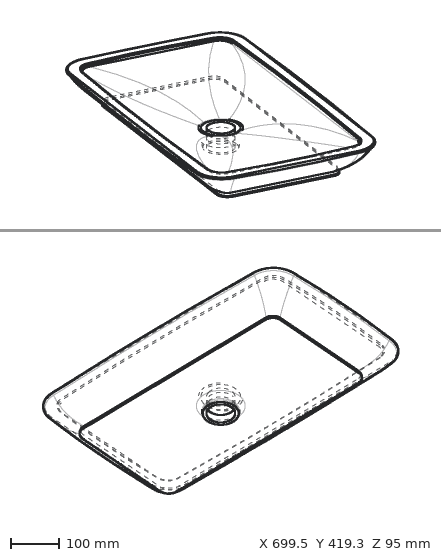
import cadquery as cq
import math

TOTAL_HEIGHT = 95.0
BEVEL_BOTTOM_Z = -2.8
LIP_BOTTOM_Z = -7.0
NECK_Z = -66.5
FOOT_EDGE_Z = -72.0
FOOT_BOTTOM_Z = -75.0
SPIGOT_BOTTOM_Z = -TOTAL_HEIGHT

OUTER_LENGTH = 699.45
OUTER_WIDTH = 419.32
SIDE_BOW = 5.0
RIM_CORNER_RADIUS = 61.0
CORNER_X = OUTER_LENGTH / 2 - SIDE_BOW - RIM_CORNER_RADIUS
CORNER_Y = OUTER_WIDTH / 2 - SIDE_BOW - RIM_CORNER_RADIUS
FLAT_CORNER_RADIUS = 58.0
LIP_UNDERCUT = 4.0

NECK_HALF_LENGTH = 277.5
NECK_CORNER_RADIUS = 20.0
WALL_TOP_ANGLE = math.radians(36)
WALL_SECTIONS = 6

FOOT_FLARE = 3.0
SPIGOT_RADIUS = 38.3
SPIGOT_FLARE_RADIUS = 12.0
SPIGOT_CHAMFER_HEIGHT = 4.0
SPIGOT_CHAMFER_WIDTH = 1.2

OPENING_CORNER_RADIUS = 32.5
STEP_CORNER_RADIUS = 31.0
STEP_Z = -3.3
LEDGE_CORNER_RADIUS = 28.0
LEDGE_Z = -6.0
UPPER_FLOOR_HALF_LENGTH = 232.0
UPPER_FLOOR_HALF_WIDTH = 145.0
UPPER_FLOOR_CORNER = 53.0
UPPER_FLOOR_Z = -13.0
LOWER_FLOOR_HALF_LENGTH = 140.0
LOWER_FLOOR_HALF_WIDTH = 98.0
LOWER_FLOOR_CORNER = 51.0
LOWER_FLOOR_Z = -27.5

DRAIN_Z = -51.5
DRAIN_RADIUS = 46.0
SEAT_RADIUS = 41.0
THROAT_RADIUS = 29.5
THROAT_Z = DRAIN_Z - (SEAT_RADIUS - THROAT_RADIUS)
DRAIN_CORNER_START = math.radians(23.5)
DRAIN_CORNER_END = math.radians(49)

STRAIGHT_TOLERANCE = 1e-6

STOPPER_EDGE_Z = DRAIN_Z
STOPPER_DOME = 4.0
STOPPER_BOTTOM_Z = FOOT_BOTTOM_Z


def closed_outline(z, side_start, corner_middle, corner_end, side_middle_x, end_middle_y):
    """Closed wire at height z, mirrored about X and Y from the points of one quarter.

    side_start and corner_end are the ends of the corner arc; the sides between the
    corners are arcs through (side_middle_x, 0) and (0, end_middle_y), or straight lines.
    """

    def point(xy, sx, sy):
        return cq.Vector(sx * xy[0], sy * xy[1], z)

    def side(start, middle, end):
        if (middle - (start + end) * 0.5).Length < STRAIGHT_TOLERANCE:
            return cq.Edge.makeLine(start, end)
        return cq.Edge.makeThreePointArc(start, middle, end)

    def corner(sx, sy, first, last):
        return cq.Edge.makeThreePointArc(
            point(first, sx, sy), point(corner_middle, sx, sy), point(last, sx, sy)
        )

    a, b = side_start, corner_end
    right = cq.Vector(side_middle_x, 0, z)
    left = cq.Vector(-side_middle_x, 0, z)
    back = cq.Vector(0, end_middle_y, z)
    front = cq.Vector(0, -end_middle_y, z)
    edges = [
        side(point(a, 1, -1), right, point(a, 1, 1)),
        corner(1, 1, a, b),
        side(point(b, 1, 1), back, point(b, -1, 1)),
        corner(-1, 1, b, a),
        side(point(a, -1, 1), left, point(a, -1, -1)),
        corner(-1, -1, a, b),
        side(point(b, -1, -1), front, point(b, 1, -1)),
        corner(1, -1, b, a),
    ]
    return cq.Wire.assembleEdges(edges)


def rounded_rectangle(z, corner_x, corner_y, radius, bow=0.0):
    """Rectangle with corner arcs centred at (corner_x, corner_y) and sides bowed outward."""
    diagonal = radius * math.sqrt(0.5)
    return closed_outline(
        z,
        side_start=(corner_x + radius, corner_y),
        corner_middle=(corner_x + diagonal, corner_y + diagonal),
        corner_end=(corner_x, corner_y + radius),
        side_middle_x=corner_x + radius + bow,
        end_middle_y=corner_y + radius + bow,
    )


def drain_circle():
    """Circle of the drain edge, split where the corners of the basin floor run into it."""

    def on_circle(angle):
        return (DRAIN_RADIUS * math.cos(angle), DRAIN_RADIUS * math.sin(angle))

    return closed_outline(
        DRAIN_Z,
        side_start=on_circle(DRAIN_CORNER_START),
        corner_middle=on_circle((DRAIN_CORNER_START + DRAIN_CORNER_END) / 2),
        corner_end=on_circle(DRAIN_CORNER_END),
        side_middle_x=DRAIN_RADIUS,
        end_middle_y=DRAIN_RADIUS,
    )


def loft(wires, ruled=True):
    return cq.Workplane(obj=cq.Solid.makeLoft(wires, ruled))


def wall_outlines():
    """Outlines of the outer wall from the lip down to the neck, following the section arc."""
    top_half_length = OUTER_LENGTH / 2 - LIP_UNDERCUT
    top_half_width = OUTER_WIDTH / 2 - LIP_UNDERCUT
    drop = LIP_BOTTOM_Z - NECK_Z
    inset = top_half_length - NECK_HALF_LENGTH
    half_turn = math.atan2(inset, drop) - WALL_TOP_ANGLE
    arc_radius = math.hypot(inset, drop) / (2 * math.sin(half_turn))
    wires = []
    for i in range(WALL_SECTIONS):
        share = i / (WALL_SECTIONS - 1)
        angle = WALL_TOP_ANGLE + 2 * half_turn * share
        z = LIP_BOTTOM_Z - arc_radius * (math.sin(angle) - math.sin(WALL_TOP_ANGLE))
        step_in = arc_radius * (math.cos(WALL_TOP_ANGLE) - math.cos(angle))
        depth_share = (LIP_BOTTOM_Z - z) / drop
        bow = SIDE_BOW * (1 - depth_share)
        top_radius = RIM_CORNER_RADIUS - LIP_UNDERCUT
        radius = top_radius + (NECK_CORNER_RADIUS - top_radius) * depth_share
        corner_x = top_half_length - step_in - bow - radius
        corner_y = top_half_width - step_in - bow - radius
        wires.append(rounded_rectangle(z, corner_x, corner_y, radius, bow))
    return wires


def make_shell():
    """Solid outer form of the basin: rim, wall and foot ring."""
    rim_flat = rounded_rectangle(0, CORNER_X, CORNER_Y, FLAT_CORNER_RADIUS)
    rim_edge = rounded_rectangle(BEVEL_BOTTOM_Z, CORNER_X, CORNER_Y, RIM_CORNER_RADIUS, SIDE_BOW)
    wall = wall_outlines()
    neck_corner_x = NECK_HALF_LENGTH - NECK_CORNER_RADIUS
    neck_corner_y = neck_corner_x - (OUTER_LENGTH - OUTER_WIDTH) / 2
    foot_radius = NECK_CORNER_RADIUS + FOOT_FLARE
    foot_edge = rounded_rectangle(FOOT_EDGE_Z, neck_corner_x, neck_corner_y, foot_radius)
    foot_bottom = rounded_rectangle(FOOT_BOTTOM_Z, neck_corner_x, neck_corner_y, foot_radius)
    bevel = loft([rim_flat, rim_edge])
    lip = loft([rim_edge, wall[0]])
    foot_flare = loft([wall[-1], foot_edge])
    foot = loft([foot_edge, foot_bottom])
    return loft(wall, ruled=False).union(lip).union(bevel).union(foot_flare).union(foot)


def make_spigot():
    """Outlet below the foot, flaring with a hollow curve into the underside."""
    flare_top = SPIGOT_RADIUS + SPIGOT_FLARE_RADIUS
    flare_mid = SPIGOT_FLARE_RADIUS * (1 - math.sqrt(0.5))
    return (
        cq.Workplane("XZ")
        .moveTo(0, DRAIN_Z)
        .lineTo(flare_top, DRAIN_Z)
        .lineTo(flare_top, FOOT_BOTTOM_Z)
        .threePointArc(
            (SPIGOT_RADIUS + flare_mid, FOOT_BOTTOM_Z - flare_mid),
            (SPIGOT_RADIUS, FOOT_BOTTOM_Z - SPIGOT_FLARE_RADIUS),
        )
        .lineTo(SPIGOT_RADIUS, SPIGOT_BOTTOM_Z + SPIGOT_CHAMFER_HEIGHT)
        .lineTo(SPIGOT_RADIUS - SPIGOT_CHAMFER_WIDTH, SPIGOT_BOTTOM_Z)
        .lineTo(0, SPIGOT_BOTTOM_Z)
        .close()
        .revolve()
    )


def make_cavity():
    """Inside of the basin: steep lip and gentle ledge, then the floor falling in a curve to the drain."""
    opening = rounded_rectangle(0, CORNER_X, CORNER_Y, OPENING_CORNER_RADIUS, SIDE_BOW)
    step = rounded_rectangle(STEP_Z, CORNER_X, CORNER_Y, STEP_CORNER_RADIUS, SIDE_BOW)
    ledge = rounded_rectangle(LEDGE_Z, CORNER_X, CORNER_Y, LEDGE_CORNER_RADIUS)
    upper_floor = rounded_rectangle(
        UPPER_FLOOR_Z,
        UPPER_FLOOR_HALF_LENGTH - UPPER_FLOOR_CORNER,
        UPPER_FLOOR_HALF_WIDTH - UPPER_FLOOR_CORNER,
        UPPER_FLOOR_CORNER,
    )
    lower_floor = rounded_rectangle(
        LOWER_FLOOR_Z,
        LOWER_FLOOR_HALF_LENGTH - LOWER_FLOOR_CORNER,
        LOWER_FLOOR_HALF_WIDTH - LOWER_FLOOR_CORNER,
        LOWER_FLOOR_CORNER,
    )
    floor = loft([ledge, upper_floor, lower_floor, drain_circle()], ruled=False)
    return loft([opening, step]).union(loft([step, ledge])).union(floor)


def make_drain_hole():
    """Conical seat and the straight throat through the spigot."""
    return (
        cq.Workplane("XZ")
        .moveTo(0, DRAIN_Z)
        .lineTo(SEAT_RADIUS, DRAIN_Z)
        .lineTo(THROAT_RADIUS, THROAT_Z)
        .lineTo(THROAT_RADIUS, SPIGOT_BOTTOM_Z)
        .lineTo(0, SPIGOT_BOTTOM_Z)
        .close()
        .revolve()
    )


def make_basin():
    outer = make_shell().union(make_spigot())
    return outer.cut(make_cavity()).cut(make_drain_hole()).solids()


def make_stopper():
    """Round plug filling the throat, the rim of its dome level with the drain ring."""
    dome_radius = (THROAT_RADIUS**2 + STOPPER_DOME**2) / (2 * STOPPER_DOME)
    dome_centre_z = STOPPER_EDGE_Z + STOPPER_DOME - dome_radius
    half_angle = math.asin(THROAT_RADIUS / dome_radius) / 2
    dome_middle = (
        dome_radius * math.sin(half_angle),
        dome_centre_z + dome_radius * math.cos(half_angle),
    )
    return (
        cq.Workplane("XZ")
        .moveTo(0, STOPPER_BOTTOM_Z)
        .lineTo(THROAT_RADIUS, STOPPER_BOTTOM_Z)
        .lineTo(THROAT_RADIUS, STOPPER_EDGE_Z)
        .threePointArc(dome_middle, (0, STOPPER_EDGE_Z + STOPPER_DOME))
        .close()
        .revolve()
    )


basin = make_basin()
stopper = make_stopper()
result = cq.Compound.makeCompound([basin.val(), stopper.val()])